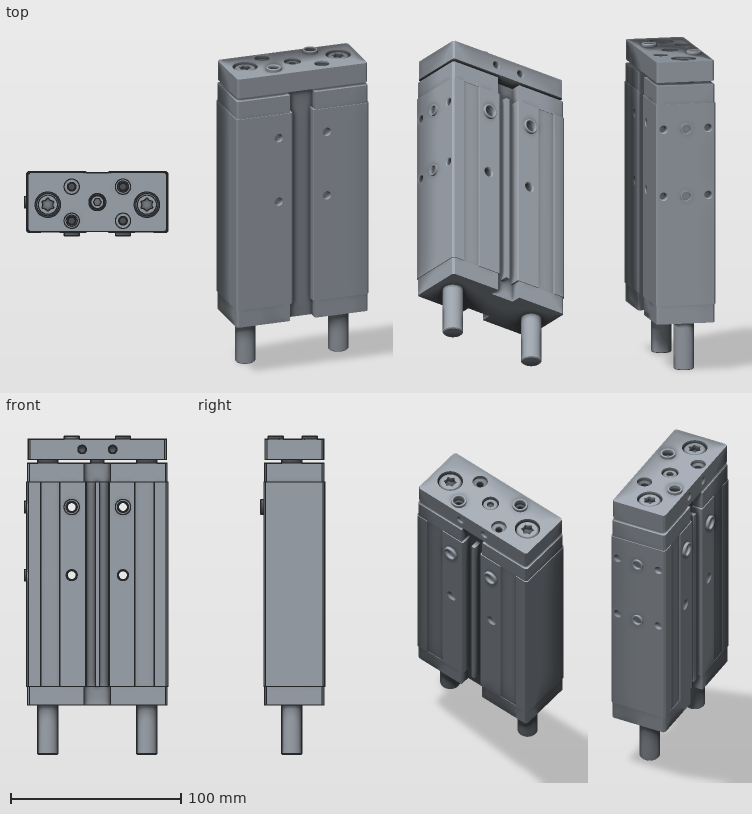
import cadquery as cq
import math


cap_height = 11.0
housing_height = 120.0
plate_height = 12.0
rod_overhang = 29.0
plate_gap = 2.0
sleeve_protrusion = 1.9

housing_bottom = rod_overhang + cap_height
housing_top = housing_bottom + housing_height
cap_top = housing_top + cap_height
plate_bottom = cap_top + plate_gap
plate_top = plate_bottom + plate_height

housing_width = 83.0
housing_depth = 35.9
housing_chamfer = 1.1
slot_width = 12.9
slot_depth = 6.7
slot_chamfer = 0.5
rib_width = 2.5
rib_setback = 1.5
groove_inner_edge = 21.9
groove_outer_edge = 33.5
groove_depth = 0.7
groove_side_run = 0.28

cap_inset = 0.47
cap_width = housing_width - 2 * cap_inset
cap_depth = housing_depth - 2 * cap_inset
cap_chamfer = 1.1
cap_slot_width = 15.5

plate_width = 81.3
plate_depth = 34.5
plate_chamfer = 1.1
rod_diameter = 12.0
rod_spacing = 58.1
rod_offset = -1.5
rod_chamfer = 0.5
piston_rod_diameter = 8.0
piston_rod_length = 130.8

rod_bore_diameter = 15.0
rod_bore_depth = 8.0
rod_head_diameter = 13.0
rod_head_chamfer = 1.0
rod_head_sink = 0.7
lobe_tip_diameter = 7.7
lobe_root_diameter = 6.0
lobe_count = 6
lobe_tip_turn = 0.09
rod_socket_depth = 3.7
piston_bore_diameter = 10.0
piston_bore_depth = 5.0
piston_head_diameter = 8.5
piston_head_chamfer = 0.5
piston_head_sink = 1.1
hex_sides = 6
hex_across_corners = 4.7
piston_socket_depth = 2.2

sleeve_diameter = 9.0
sleeve_bore = 6.5
sleeve_seat_depth = 2.2
sleeve_rounding = 0.5
hole_spacing = 30.0
plate_hole_row_spacing = 20.0
plate_hole_row_centre = -1.0
mount_hole_diameter = 5.2
mount_countersink = 6.5

thread_core = 4.1
thread_mouth = 5.0
drill_point_angle = 118.0
plate_thread_spacing = 18.0
plate_thread_depth = 7.5
side_thread_spacing = 26.9
side_thread_depth = 7.5

upper_row_height = 145.1
row_pitch = 40.0
row_heights = [upper_row_height, upper_row_height - row_pitch]
plug_diameter = 7.0
plug_protrusion = 1.3
plug_seat_depth = 4.5
plug_recess_diameter = 5.2
plug_recess_depth = 1.9

hole_columns = [-hole_spacing / 2, hole_spacing / 2]
rod_columns = [-rod_spacing / 2, rod_spacing / 2]
plate_hole_rows = [
    plate_hole_row_centre - plate_hole_row_spacing / 2,
    plate_hole_row_centre + plate_hole_row_spacing / 2,
]
plate_hole_places = [(x, y) for x in hole_columns for y in plate_hole_rows]
plate_sleeve_places = [
    (hole_columns[0], plate_hole_rows[0]),
    (hole_columns[1], plate_hole_rows[1]),
]
housing_front = -housing_depth / 2
housing_side = -housing_width / 2

UP = cq.Vector(0, 0, 1)
DOWN = cq.Vector(0, 0, -1)
INTO_FRONT = cq.Vector(0, 1, 0)
OUT_OF_FRONT = cq.Vector(0, -1, 0)
INTO_SIDE = cq.Vector(1, 0, 0)


def block(width, front, back, bottom, height):
    """Box centred on X between two Y places."""
    return (
        cq.Workplane("XY", origin=(0, (front + back) / 2, bottom))
        .box(width, back - front, height, centered=(True, True, False))
    )


def cylinder(diameter, length, base, direction):
    return cq.Workplane(cq.Solid.makeCylinder(diameter / 2, length, cq.Vector(*base), direction))


def frustum(start_diameter, end_diameter, length, base, direction):
    cone = cq.Solid.makeCone(start_diameter / 2, end_diameter / 2, length, cq.Vector(*base), direction)
    return cq.Workplane(cone)


def countersink(mouth_diameter, hole_diameter, base, direction):
    """45 degree countersink that narrows from the mouth to the hole."""
    depth = (mouth_diameter - hole_diameter) / 2
    return frustum(mouth_diameter, hole_diameter, depth, base, direction)


def threaded_hole(depth, base, direction):
    """Blind core hole with a chamfered mouth and a drill point."""
    point_length = thread_core / 2 / math.tan(math.radians(drill_point_angle / 2))
    point_base = (cq.Vector(*base) + direction * depth).toTuple()
    core = cylinder(thread_core, depth, base, direction)
    point = frustum(thread_core, 0, point_length, point_base, direction)
    return core.union(point).union(countersink(thread_mouth, thread_core, base, direction))


def housing_body():
    body = block(housing_width, housing_front, -housing_front, housing_bottom, housing_height)
    body = body.edges("|Z").chamfer(housing_chamfer)
    body = body.cut(housing_slots()).cut(housing_grooves())
    rib_front = housing_front + rib_setback
    rib_back = housing_front + slot_depth
    body = body.union(block(rib_width, rib_front, rib_back, housing_bottom, housing_height))
    body = body.cut(rod_passages())
    for z in row_heights:
        body = body.cut(mounting_holes(z)).cut(side_threads(z))
        body = body.cut(cylinder(plug_diameter, plug_seat_depth, (housing_side, 0, z), INTO_SIDE))
    for x in hole_columns:
        seat_place = (x, housing_front, upper_row_height)
        body = body.cut(cylinder(sleeve_diameter, sleeve_seat_depth, seat_place, INTO_FRONT))
    return body


def housing_slots():
    """Front and back slots with chamfered edges."""
    half = slot_width / 2
    front_slot = (
        cq.Workplane("XY", origin=(0, 0, housing_bottom))
        .moveTo(-half - slot_chamfer, housing_front)
        .lineTo(-half, housing_front + slot_chamfer)
        .lineTo(-half, housing_front + slot_depth)
        .lineTo(half, housing_front + slot_depth)
        .lineTo(half, housing_front + slot_chamfer)
        .lineTo(half + slot_chamfer, housing_front)
        .close()
        .extrude(housing_height)
    )
    return front_slot.union(front_slot.mirror("XZ"))


def housing_grooves():
    """Two shallow grooves along the front, one on each side of the slot."""
    groove = (
        cq.Workplane("XY", origin=(0, 0, housing_bottom))
        .moveTo(groove_inner_edge, housing_front)
        .lineTo(groove_inner_edge + groove_side_run, housing_front + groove_depth)
        .lineTo(groove_outer_edge - groove_side_run, housing_front + groove_depth)
        .lineTo(groove_outer_edge, housing_front)
        .close()
        .extrude(housing_height)
    )
    return groove.union(groove.mirror("YZ"))


def mounting_holes(z):
    """Pair of holes right through the depth, countersunk at the front."""
    holes = cq.Workplane()
    for x in hole_columns:
        place = (x, housing_front, z)
        holes = holes.add(cylinder(mount_hole_diameter, housing_depth, place, INTO_FRONT))
        holes = holes.add(countersink(mount_countersink, mount_hole_diameter, place, INTO_FRONT))
    return holes.combine()


def side_threads(z):
    """Pair of threaded holes in the left side."""
    holes = cq.Workplane()
    for y in (-side_thread_spacing / 2, side_thread_spacing / 2):
        holes = holes.add(threaded_hole(side_thread_depth, (housing_side, y, z), INTO_SIDE))
    return holes.combine()


def cap_body(bottom):
    body = block(cap_width, -cap_depth / 2, cap_depth / 2, bottom, cap_height)
    body = body.edges("|Z").chamfer(cap_chamfer)
    slot_floor = housing_front + slot_depth
    body = body.cut(block(cap_slot_width, -cap_depth / 2, slot_floor, bottom, cap_height))
    body = body.cut(block(cap_slot_width, -slot_floor, cap_depth / 2, bottom, cap_height))
    return body.cut(rod_passages())


def rods():
    """Guide rods and piston rod up to the underside of the plate."""
    shafts = cq.Workplane()
    for x in rod_columns:
        guide = cylinder(rod_diameter, plate_bottom, (x, rod_offset, 0), UP)
        shafts = shafts.add(guide.faces("<Z").chamfer(rod_chamfer))
    return shafts.add(cylinder(piston_rod_diameter, piston_rod_length, (0, 0, plate_bottom), DOWN))


def rod_passages():
    """Room for the rods in the housing and caps."""
    return rods().combine()


def lobed_socket(x):
    """Six-lobed socket whose sides curve inward between the tips."""
    step = 2 * math.pi / lobe_count

    def polar(diameter, turn):
        angle = math.pi / 2 + turn * step
        return (diameter / 2 * math.cos(angle), diameter / 2 * math.sin(angle))

    top = plate_top - rod_head_sink
    outline = cq.Workplane("XY", origin=(x, rod_offset, top))
    outline = outline.moveTo(*polar(lobe_tip_diameter, -lobe_tip_turn))
    for lobe in range(lobe_count):
        tip_end = polar(lobe_tip_diameter, lobe + lobe_tip_turn)
        outline = outline.threePointArc(polar(lobe_tip_diameter, lobe), tip_end)
        next_tip_start = polar(lobe_tip_diameter, lobe + 1 - lobe_tip_turn)
        outline = outline.threePointArc(polar(lobe_root_diameter, lobe + 0.5), next_tip_start)
    return outline.close().extrude(-rod_socket_depth)


def rod_screw_head(x):
    height = rod_bore_depth - rod_head_sink
    head = cylinder(rod_head_diameter, height, (x, rod_offset, plate_top - rod_bore_depth), UP)
    return head.faces(">Z").chamfer(rod_head_chamfer).cut(lobed_socket(x))


def piston_screw_head():
    height = piston_bore_depth - piston_head_sink
    head = cylinder(piston_head_diameter, height, (0, 0, plate_top - piston_bore_depth), UP)
    socket = (
        cq.Workplane("XY", origin=(0, 0, plate_top - piston_head_sink))
        .polygon(hex_sides, hex_across_corners)
        .extrude(-piston_socket_depth)
    )
    return head.faces(">Z").chamfer(piston_head_chamfer).cut(socket)


def plate_hole(x, y):
    """Sleeve seat above a through hole with a chamfered mouth."""
    seat_floor = (x, y, plate_top - sleeve_seat_depth)
    hole = cylinder(thread_core, plate_height, (x, y, plate_top), DOWN)
    hole = hole.union(countersink(thread_mouth, thread_core, seat_floor, DOWN))
    return hole.union(cylinder(sleeve_diameter, sleeve_seat_depth, (x, y, plate_top), DOWN))


def moving_unit_body():
    body = block(plate_width, -plate_depth / 2, plate_depth / 2, plate_bottom, plate_height)
    body = body.edges("|Z").chamfer(plate_chamfer)
    for x, y in plate_hole_places:
        body = body.cut(plate_hole(x, y))
    for x in (-plate_thread_spacing / 2, plate_thread_spacing / 2):
        place = (x, -plate_depth / 2, plate_bottom + plate_height / 2)
        body = body.cut(threaded_hole(plate_thread_depth, place, INTO_FRONT))
    for x in rod_columns:
        body = body.cut(cylinder(rod_bore_diameter, rod_bore_depth, (x, rod_offset, plate_top), DOWN))
        body = body.union(rod_screw_head(x))
    body = body.cut(cylinder(piston_bore_diameter, piston_bore_depth, (0, 0, plate_top), DOWN))
    body = body.union(piston_screw_head())
    for shaft in rods().vals():
        body = body.union(cq.Workplane(shaft))
    return body


def sleeve(surface_place, outward):
    """Sleeve sunk in its seat, with a rounded outer rim; surface_place is on the surface around it."""
    base = cq.Vector(*surface_place) - outward * sleeve_seat_depth
    length = sleeve_seat_depth + sleeve_protrusion
    body = cylinder(sleeve_diameter, length, base.toTuple(), outward)
    body = body.cut(cylinder(sleeve_bore, length, base.toTuple(), outward))
    outer_end = cq.selectors.DirectionMinMaxSelector(outward)
    return body.faces(outer_end).edges().fillet(sleeve_rounding)


def plug(z):
    """Round plug with a recess in its outer end."""
    outer_end = (housing_side - plug_protrusion, 0, z)
    body = cylinder(plug_diameter, plug_protrusion + plug_seat_depth, outer_end, INTO_SIDE)
    return body.cut(cylinder(plug_recess_diameter, plug_recess_depth, outer_end, INTO_SIDE))


housing = housing_body()
caps = [cap_body(rod_overhang), cap_body(housing_top)]
moving_unit = moving_unit_body()
sleeves = [sleeve((x, y, plate_top), UP) for x, y in plate_sleeve_places]
sleeves += [sleeve((x, housing_front, upper_row_height), OUT_OF_FRONT) for x in hole_columns]
plugs = [plug(z) for z in row_heights]

result = cq.Compound.makeCompound([
    housing.val(),
    *[cap.val() for cap in caps],
    moving_unit.val(),
    *[ring.val() for ring in sleeves],
    *[stopper.val() for stopper in plugs],
])